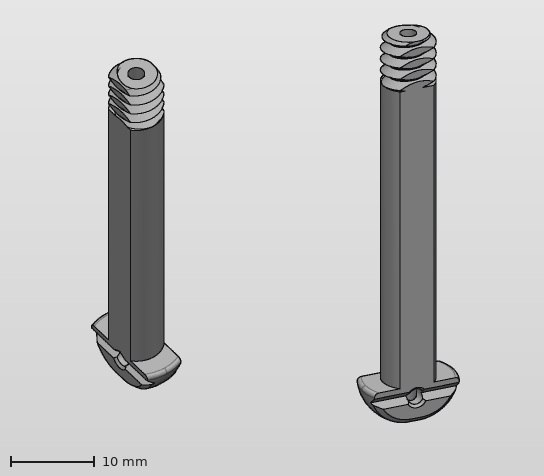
import cadquery as cq
import math

total_height = 50.6
body_width = 5.0
half_width = body_width / 2

head_height = 5.0
head_rim_diameter = 12.3
head_rim_radius = head_rim_diameter / 2
head_base_radius = 2.2
head_side_radius = 5.45
head_rim_fillet = 0.5

bevel_height = 0.7
bevel_radius = 4.35
bevel_flat_length = 1.5
bevel_angle = 45
bevel_center_height = bevel_height + bevel_radius

shank_radius = 3.35
thread_length = 6.25
thread_start = total_height - thread_length
thread_turns = 4.2
thread_pitch = thread_length / thread_turns
thread_root_radius = 2.25
thread_tip_radius = 2.55
thread_tip_slope = 40
thread_flank_gap = 0.05
ridge_embedding = 0.05
ridge_base_radius = thread_root_radius - ridge_embedding

groove_height = 3.4
groove_depth = 1.0
groove_rise = 0.9
groove_drop = 0.65
hole_diameter = 2.0
hole_radius = hole_diameter / 2
countersink_depth = 0.33


def make_slab(height):
    """Block of the body width, standing on the XY plane and longer in X than the head."""
    return cq.Workplane("XY").box(
        2 * head_rim_diameter, body_width, height, centered=(True, True, False)
    )


def make_head():
    """Revolved mushroom head, cut to width, grooved and bevelled below the grooves."""
    profile = (
        cq.Workplane("XZ")
        .lineTo(head_base_radius, 0)
        .radiusArc((head_rim_radius, head_height), -head_side_radius)
        .lineTo(0, head_height)
        .close()
    )
    head = profile.revolve(360, (0, 0, 0), (0, 1, 0))
    head = head.intersect(make_slab(head_height))
    head = head.faces(">Z").edges("not |X").fillet(head_rim_fillet)
    bevel_waste = make_slab(groove_height)
    for side in (-1, 1):
        head = head.cut(make_groove(side))
        bevel_waste = bevel_waste.cut(make_flared_slot(side))
    return head.cut(bevel_waste)


def make_flared_slot(side):
    """Slot-shaped block that widens at the bevel angle from one flat side to the middle plane."""
    face = cq.Plane((0, side * half_width, bevel_center_height), (1, 0, 0), (0, -side, 0))
    slot = cq.Workplane(face).slot2D(bevel_flat_length + 2 * bevel_radius, 2 * bevel_radius)
    return slot.extrude(half_width, taper=-bevel_angle)


def make_thread():
    """Right-handed V thread: a helical ridge on a root cylinder, flattened like the shank."""
    half_base = (thread_pitch - thread_flank_gap) / 2
    sweep_start = thread_start - thread_pitch
    path = cq.Wire.makeHelix(thread_pitch, thread_length + 2 * thread_pitch, ridge_base_radius)
    ridge = (
        cq.Workplane("XZ")
        .moveTo(ridge_base_radius, -half_base)
        .lineTo(shank_radius, 0)
        .lineTo(ridge_base_radius, half_base)
        .close()
        .sweep(cq.Workplane(path), isFrenet=True)
        .translate((0, 0, sweep_start))
    )
    root = (
        cq.Workplane("XY")
        .workplane(offset=thread_start)
        .circle(thread_root_radius)
        .extrude(thread_length)
    )
    cone_growth = thread_length / math.tan(math.radians(thread_tip_slope))
    lead_in = cq.Solid.makeCone(thread_tip_radius + cone_growth, thread_tip_radius, thread_length)
    envelope = make_slab(thread_length).intersect(cq.Workplane(lead_in)).translate((0, 0, thread_start))
    return root.union(ridge).intersect(envelope)


def make_shank():
    """Round bar with two flat sides, standing on the head."""
    shank_length = thread_start - head_height
    bar = cq.Workplane("XY").circle(shank_radius).extrude(shank_length)
    return bar.intersect(make_slab(shank_length)).translate((0, 0, head_height))


def make_groove(side):
    """V groove along X in the flat side at side * half_width."""
    outline = [
        (side * half_width, groove_height + groove_rise),
        (side * (half_width - groove_depth), groove_height),
        (side * half_width, groove_height - groove_drop),
    ]
    return cq.Workplane("YZ").polyline(outline).close().extrude(head_rim_diameter, both=True)


def make_countersink(side):
    """45 degree cone that opens the cross hole at one flat side."""
    return cq.Workplane(
        cq.Solid.makeCone(
            hole_radius + countersink_depth,
            hole_radius,
            countersink_depth,
            cq.Vector(0, side * half_width, groove_height),
            cq.Vector(0, -side, 0),
        )
    )


result = make_head().union(make_shank()).union(make_thread()).clean()
for side in (-1, 1):
    result = result.cut(make_countersink(side))

cross_hole = (
    cq.Workplane("XZ").center(0, groove_height).circle(hole_radius).extrude(body_width, both=True)
)
axial_hole = cq.Workplane("XY").circle(hole_radius).extrude(total_height)
result = result.cut(cross_hole).cut(axial_hole)